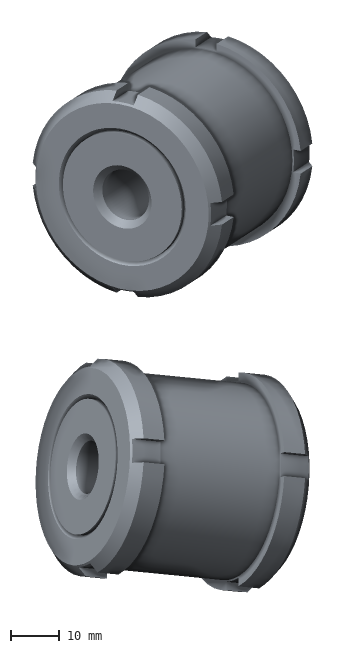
import cadquery as cq

length = 42.0
collar_diameter = 45.0
body_diameter = 40.8
collar_width = 6.98
bore_diameter = 11.0
bore_mouth_diameter = 13.77
core_diameter = 28.1
seat_diameter = 28.4
seat_mouth_diameter = 30.0
gap_depth = collar_width
slot_width = 5.0
slot_floor_diameter = 41.5
slots_per_collar = 4

half_length = length / 2
collar_chamfer = (collar_diameter - body_diameter) / 2
bore_chamfer = (bore_mouth_diameter - bore_diameter) / 2
seat_chamfer = (seat_mouth_diameter - seat_diameter) / 2
end_faces = "<Y or >Y"


def cylinder(diameter, start, height):
    """Cylinder on the Y axis, growing from y = start towards +Y."""
    plane = cq.Workplane("XZ", origin=(0, start, 0))
    return plane.circle(diameter / 2).extrude(-height)


def make_spool():
    """Sleeve with a chamfered collar at each end and a through bore."""
    blank = cylinder(collar_diameter, -half_length, length)
    blank = blank.faces(end_faces).edges().chamfer(collar_chamfer)
    waist_start = collar_width - half_length
    waist_length = length - 2 * collar_width
    waist = cylinder(collar_diameter, waist_start, waist_length)
    waist = waist.cut(cylinder(body_diameter, waist_start, waist_length))
    bore = cylinder(bore_diameter, -half_length, length)
    spool = blank.cut(waist).cut(bore)
    return spool.edges("%CIRCLE").edges(
        cq.selectors.RadiusNthSelector(0)
    ).chamfer(bore_chamfer)


def make_spanner_slots():
    """Rim slots through both collars, with a cylindrical floor."""
    slots = cq.Workplane("XY")
    for i in range(slots_per_collar):
        slot = cq.Workplane("XY").box(
            collar_diameter, length, slot_width, centered=(False, True, True)
        )
        slots = slots.add(slot.rotate((0, 0, 0), (0, 1, 0), i * 360 / slots_per_collar))
    floor = cylinder(slot_floor_diameter, -half_length, length)
    return slots.combine().cut(floor)


def make_core_gap():
    """Narrow ring gap around the core at the -Y end, flared at its mouth."""
    profile = [
        (core_diameter / 2, -half_length),
        (seat_mouth_diameter / 2, -half_length),
        (seat_diameter / 2, seat_chamfer - half_length),
        (seat_diameter / 2, gap_depth - half_length),
        (core_diameter / 2, gap_depth - half_length),
    ]
    return cq.Workplane("XY").polyline(profile).close().revolve(360, (0, 0), (0, 1))


core_gap = make_core_gap()
result = make_spool().cut(make_spanner_slots())
result = result.cut(core_gap).cut(core_gap.mirror("XZ"))